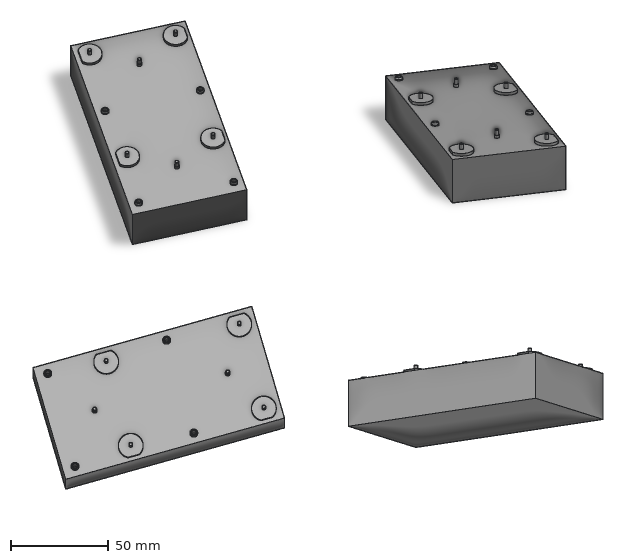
import cadquery as cq
import math

BODY_LENGTH = 116.8
BODY_WIDTH = 61.0
TOTAL_HEIGHT = 28.7
PIN_RISE = 4.5
PIN_DIAMETER = 2.0
PIN_TIP_CHAMFER = 0.2
BODY_HEIGHT = TOTAL_HEIGHT - PIN_RISE
SHOULDER_HEIGHT = 1.5

PAD_DIAMETER = 12.7
PAD_COLUMNS = (-49.5, 21.5)
PAD_ROW = 22.9
FRONT_FLAT_OFFSET = 5.0
REAR_FLAT_OFFSET = 5.6

COLLAR_DIAMETER = 2.6
CENTER_PIN_COLUMNS = (-36.8, 34.2)

STANDOFF_DIAMETER = 4.1
STANDOFF_HOLE_DIAMETER = 2.2
STANDOFF_HOLE_DEPTH = 5.8
DRILL_POINT_ANGLE = 118.0
STANDOFF_BEVEL_HEIGHT = 0.8
STANDOFF_BEVEL_WIDTH = 0.5
STANDOFF_COLUMNS = (-11.5, 52.0)
STANDOFF_ROW = 25.4


def cylinder(x, y, diameter, height):
    """Upright cylinder standing on top of the block."""
    return cq.Workplane("XY", origin=(x, y, BODY_HEIGHT)).circle(diameter / 2).extrude(height)


def pin(x, y):
    """Pin with a chamfered tip."""
    return cylinder(x, y, PIN_DIAMETER, PIN_RISE).faces(">Z").edges().chamfer(PIN_TIP_CHAMFER)


def pad(x, side):
    """Flatted pad and its pin; side is -1 for the -Y row and 1 for the +Y row."""
    y = side * PAD_ROW
    flat_offset = REAR_FLAT_OFFSET if side > 0 else FRONT_FLAT_OFFSET
    trim_center = y + side * (flat_offset - PAD_DIAMETER / 2)
    trim = (
        cq.Workplane("XY", origin=(x, trim_center, BODY_HEIGHT))
        .rect(PAD_DIAMETER, PAD_DIAMETER)
        .extrude(SHOULDER_HEIGHT)
    )
    disc = cylinder(x, y, PAD_DIAMETER, SHOULDER_HEIGHT).intersect(trim)
    return disc.union(pin(x, y))


def center_pin(x):
    """Slim pin rising from a short collar."""
    collar = cylinder(x, 0, COLLAR_DIAMETER, SHOULDER_HEIGHT)
    return collar.union(pin(x, 0))


def standoff(x, y):
    """Short boss with a bevelled rim."""
    return (
        cylinder(x, y, STANDOFF_DIAMETER, SHOULDER_HEIGHT)
        .faces(">Z")
        .edges()
        .chamfer(STANDOFF_BEVEL_HEIGHT, STANDOFF_BEVEL_WIDTH)
    )


def standoff_hole(x, y):
    """Drilled hole with a conical bottom, entering at the standoff's rim."""
    radius = STANDOFF_HOLE_DIAMETER / 2
    tip_length = radius / math.tan(math.radians(DRILL_POINT_ANGLE / 2))
    half_profile = [
        (0, 0),
        (radius, 0),
        (radius, -STANDOFF_HOLE_DEPTH),
        (0, -STANDOFF_HOLE_DEPTH - tip_length),
    ]
    return (
        cq.Workplane("XZ", origin=(x, y, BODY_HEIGHT + SHOULDER_HEIGHT))
        .polyline(half_profile)
        .close()
        .revolve(360, (0, 0), (0, 1))
    )


result = cq.Workplane("XY").box(BODY_LENGTH, BODY_WIDTH, BODY_HEIGHT, centered=(True, True, False))

for side in (-1, 1):
    for column in PAD_COLUMNS:
        result = result.union(pad(column, side))
    for column in STANDOFF_COLUMNS:
        result = result.union(standoff(column, side * STANDOFF_ROW))
        result = result.cut(standoff_hole(column, side * STANDOFF_ROW))

for column in CENTER_PIN_COLUMNS:
    result = result.union(center_pin(column))